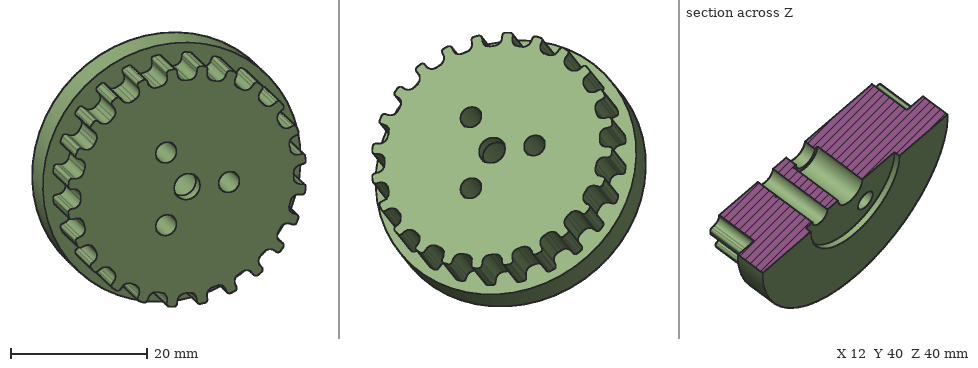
import cadquery as cq
import math

flange_diameter = 40.0
flange_thickness = 5.0
total_length = 12.0
toothed_length = total_length - flange_thickness

tooth_count = 24
tip_radius = 18.53
tooth_width = 1.62
tip_fillet = 0.47
groove_floor_radius = 16.5
groove_corner_radius = 1.18

recess_diameter = 19.1
recess_depth = 1.0

wide_bore_diameter = 5.2
narrow_bore_diameter = 4.0
narrow_bore_length = 2.0

screw_hole_count = 3
screw_hole_diameter = 3.2
screw_circle_radius = 6.5
first_screw_angle = -90.0

cut_clearance = 1.0


def plane_at(x):
    """Workplane across the X axis at x, with local x along +Z and local y along -Y."""
    return cq.Workplane(cq.Plane(origin=(x, 0, 0), xDir=(0, 0, 1), normal=(1, 0, 0)))


def cylinder(diameter, start, end):
    return plane_at(start).circle(diameter / 2).extrude(end - start)


def make_groove_cutter():
    """Groove on the +Z side whose walls run parallel to the centre lines of the adjacent teeth."""
    half_pitch = math.pi / tooth_count
    outer_radius = tip_radius + cut_clearance

    def half_width(radius):
        return radius * math.tan(half_pitch) - tooth_width / 2 / math.cos(half_pitch)

    floor_half = half_width(groove_floor_radius)
    mouth_half = half_width(outer_radius)
    return (
        plane_at(flange_thickness)
        .moveTo(groove_floor_radius, -floor_half)
        .lineTo(outer_radius, -mouth_half)
        .lineTo(outer_radius, mouth_half)
        .lineTo(groove_floor_radius, floor_half)
        .close()
        .extrude(toothed_length)
        .edges("|X and <Z")
        .fillet(groove_corner_radius)
    )


def make_toothed_ring():
    ring = cylinder(2 * tip_radius, flange_thickness, total_length)
    cutter = make_groove_cutter()
    for index in range(tooth_count):
        angle = index * 360.0 / tooth_count
        ring = ring.cut(cutter.rotate((0, 0, 0), (1, 0, 0), angle))
    corner_selector_radius = tip_radius - tip_fillet / 2
    tip_corners = ring.edges("|X").filter(
        lambda edge: math.hypot(edge.Center().y, edge.Center().z) > corner_selector_radius
    )
    return tip_corners.fillet(tip_fillet)


def make_centre_bore():
    step = total_length - narrow_bore_length
    wide_bore = cylinder(wide_bore_diameter, 0, step)
    narrow_bore = cylinder(narrow_bore_diameter, 0, total_length)
    return wide_bore.union(narrow_bore)


def make_screw_holes():
    return (
        plane_at(0)
        .polarArray(screw_circle_radius, first_screw_angle, 360, screw_hole_count)
        .circle(screw_hole_diameter / 2)
        .extrude(total_length)
    )


flange = cylinder(flange_diameter, 0, flange_thickness)
recess = cylinder(recess_diameter, 0, recess_depth)

result = (
    flange.union(make_toothed_ring())
    .cut(recess)
    .cut(make_centre_bore())
    .cut(make_screw_holes())
)